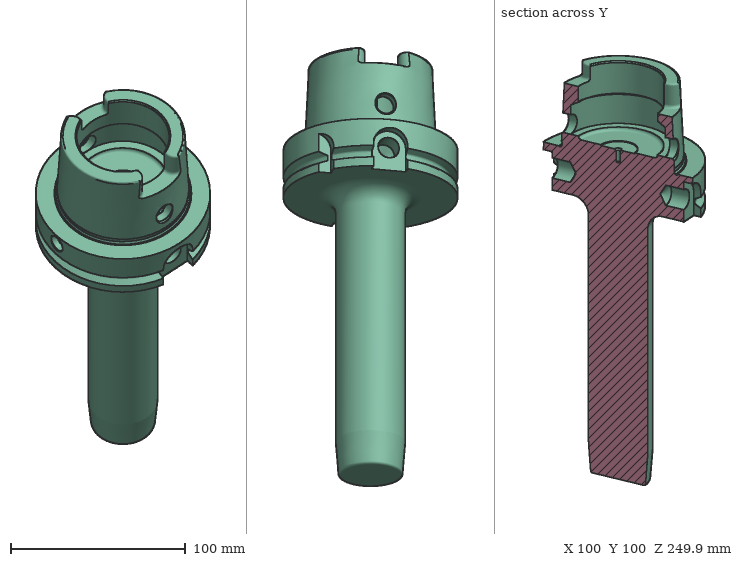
import cadquery as cq
import math

TOP_Z = 50.0
BOTTOM_Z = -199.9

TAPER_GAUGE_RADIUS = 37.55
TAPER_GAUGE_Z = 10.0
TAPER_SLOPE = 1 / 20
RIM_ROUND = 1.2
RELIEF_TOP_Z = 3.3
RELIEF_RADIUS = 37.6
RELIEF_FLOOR_TOP_Z = 2.3
RELIEF_FLOOR_BOTTOM_Z = 0.9
RELIEF_FOOT_RADIUS = 38.5
FACE_RELIEF_RADIUS = 39.3
FACE_RELIEF_DEPTH = 0.5

BORE_RADIUS = 26.5
BORE_FLOOR_ROUND = 2.0
BORE_RIM_CHAMFER = 0.8
BORE_LIP_Z = 30.0
UNDERCUT_RADIUS = 31.5
UNDERCUT_CONE_ANGLE = 60.0
UNDERCUT_FLOOR_Z = 9.0
BORE_FLOOR_Z = UNDERCUT_FLOOR_Z - BORE_FLOOR_ROUND
POCKET_RADIUS = 26.3
FLOOR_RECESS_RADIUS = 11.25
FLOOR_RECESS_DEPTH = 0.5
CENTER_HOLE_RADIUS = 1.2
CENTER_HOLE_DEPTH = 8.0
CENTER_HOLE_CHAMFER = 0.9

DRIVE_SLOT_WIDTH = 20.0
DRIVE_SLOT_CORNER_RADIUS = 6.0
DRIVE_SLOT_FLARE_X = 32.6
DRIVE_SLOT_FLOOR_ROUND = 2.0
DRIVE_SLOT_FLOORS = {-1: 40.0, 1: 35.0}

CLAMP_HOLE_RADIUS = 6.0
CLAMP_HOLE_Z = 15.0
CLAMP_HOLE_CHAMFER = 0.7

FLANGE_RADIUS = 50.0
FLANGE_THICKNESS = 29.0
GROOVE_CENTER_Z = -20.0
GROOVE_MOUTH = 7.2
GROOVE_FLOOR_WIDTH = 3.0
GROOVE_FLOOR_RADIUS = 46.0
GROOVE_ROUND = 1.0

KEYWAY_WIDTHS = {-1: 20.0, 1: 22.0}
NOTCH_WIDTH = 20.0
KEYWAY_ARCH_Z = -15.0
KEYWAY_FLOOR_X = 44.0
NOTCH_CENTER_Y = 41.2
NOTCH_FLOOR_X = 32.1
KEYWAY_HOLE_RADIUS = 6.2
KEYWAY_HOLE_DEPTH = 12.0
DRILL_POINT_ANGLE = 118.0

CHIP_HOLE_RADIUS = 5.0
CHIP_HOLE_Z = -7.0
CHIP_HOLE_DEPTH = 4.6
CHIP_HOLE_CHAMFER = 0.4
CHIP_PILOT_RADIUS = 0.5
CHIP_PILOT_DEPTH = 1.0

NECK_RADIUS = 20.0
NECK_FILLET = 10.0
NOSE_START_Z = -180.0
NOSE_END_RADIUS = 18.43
NOSE_ROUND = 1.5


def taper_radius(z):
    return TAPER_GAUGE_RADIUS + (TAPER_GAUGE_Z - z) * TAPER_SLOPE


def outer_body():
    """Solid of revolution: taper shank, grooved flange, neck and nose."""
    flange_z = -FLANGE_THICKNESS
    half_mouth = GROOVE_MOUTH / 2
    half_floor = GROOVE_FLOOR_WIDTH / 2
    body = (
        cq.Workplane("XZ")
        .moveTo(0, BOTTOM_Z)
        .lineTo(NOSE_END_RADIUS, BOTTOM_Z)
        .lineTo(NECK_RADIUS, NOSE_START_Z)
        .lineTo(NECK_RADIUS, flange_z - NECK_FILLET)
        .radiusArc((NECK_RADIUS + NECK_FILLET, flange_z), NECK_FILLET)
        .lineTo(FLANGE_RADIUS, flange_z)
        .lineTo(FLANGE_RADIUS, GROOVE_CENTER_Z - half_mouth)
        .lineTo(GROOVE_FLOOR_RADIUS, GROOVE_CENTER_Z - half_floor)
        .lineTo(GROOVE_FLOOR_RADIUS, GROOVE_CENTER_Z + half_floor)
        .lineTo(FLANGE_RADIUS, GROOVE_CENTER_Z + half_mouth)
        .lineTo(FLANGE_RADIUS, 0)
        .lineTo(FACE_RELIEF_RADIUS, 0)
        .lineTo(FACE_RELIEF_RADIUS, -FACE_RELIEF_DEPTH)
        .lineTo(RELIEF_FOOT_RADIUS, -FACE_RELIEF_DEPTH)
        .lineTo(RELIEF_RADIUS, RELIEF_FLOOR_BOTTOM_Z)
        .lineTo(RELIEF_RADIUS, RELIEF_FLOOR_TOP_Z)
        .lineTo(taper_radius(RELIEF_TOP_Z), RELIEF_TOP_Z)
        .lineTo(taper_radius(TOP_Z), TOP_Z)
        .lineTo(0, TOP_Z)
        .close()
        .revolve(360, (0, 0), (0, 1))
    )
    body = body.faces("<Z").edges().fillet(NOSE_ROUND)
    groove_floor_edges = cq.selectors.BoxSelector(
        (-FLANGE_RADIUS, -FLANGE_RADIUS, GROOVE_CENTER_Z - GROOVE_FLOOR_WIDTH),
        (FLANGE_RADIUS, FLANGE_RADIUS, GROOVE_CENTER_Z + GROOVE_FLOOR_WIDTH),
        boundingbox=True,
    )
    return body.edges(groove_floor_edges).fillet(GROOVE_ROUND)


def bore():
    """Stepped bore with a rounded floor, a shallow recess and a center hole."""
    cone_width = UNDERCUT_RADIUS - BORE_RADIUS
    cone_end_z = BORE_LIP_Z - cone_width / math.tan(math.radians(UNDERCUT_CONE_ANGLE))
    recess_z = BORE_FLOOR_Z - FLOOR_RECESS_DEPTH
    hole_mouth_radius = CENTER_HOLE_RADIUS + CENTER_HOLE_CHAMFER
    return (
        cq.Workplane("XZ")
        .moveTo(0, recess_z - CENTER_HOLE_DEPTH)
        .lineTo(CENTER_HOLE_RADIUS, recess_z - CENTER_HOLE_DEPTH)
        .lineTo(CENTER_HOLE_RADIUS, recess_z - CENTER_HOLE_CHAMFER)
        .lineTo(hole_mouth_radius, recess_z)
        .lineTo(FLOOR_RECESS_RADIUS, recess_z)
        .lineTo(FLOOR_RECESS_RADIUS, BORE_FLOOR_Z)
        .lineTo(POCKET_RADIUS - BORE_FLOOR_ROUND, BORE_FLOOR_Z)
        .radiusArc((POCKET_RADIUS, UNDERCUT_FLOOR_Z), -BORE_FLOOR_ROUND)
        .lineTo(UNDERCUT_RADIUS, UNDERCUT_FLOOR_Z)
        .lineTo(UNDERCUT_RADIUS, cone_end_z)
        .lineTo(BORE_RADIUS, BORE_LIP_Z)
        .lineTo(BORE_RADIUS, TOP_Z - BORE_RIM_CHAMFER)
        .lineTo(BORE_RADIUS + BORE_RIM_CHAMFER, TOP_Z)
        .lineTo(0, TOP_Z)
        .close()
        .revolve(360, (0, 0), (0, 1))
    )


def drive_slot(side):
    """Slot through the rim on one X side, flaring out in rounded corners and rounded at its floor."""
    floor_z = DRIVE_SLOT_FLOORS[side]
    half_width = DRIVE_SLOT_WIDTH / 2
    flare_y = half_width + DRIVE_SLOT_CORNER_RADIUS
    slot = (
        cq.Workplane("XY", origin=(0, 0, floor_z))
        .moveTo(0, -half_width)
        .lineTo(DRIVE_SLOT_FLARE_X - DRIVE_SLOT_CORNER_RADIUS, -half_width)
        .radiusArc((DRIVE_SLOT_FLARE_X, -flare_y), DRIVE_SLOT_CORNER_RADIUS)
        .lineTo(DRIVE_SLOT_FLARE_X, -FLANGE_RADIUS)
        .lineTo(FLANGE_RADIUS, -FLANGE_RADIUS)
        .lineTo(FLANGE_RADIUS, FLANGE_RADIUS)
        .lineTo(DRIVE_SLOT_FLARE_X, FLANGE_RADIUS)
        .lineTo(DRIVE_SLOT_FLARE_X, flare_y)
        .radiusArc((DRIVE_SLOT_FLARE_X - DRIVE_SLOT_CORNER_RADIUS, half_width), DRIVE_SLOT_CORNER_RADIUS)
        .lineTo(0, half_width)
        .close()
        .extrude(TOP_Z - floor_z)
        .faces("<Z")
        .edges()
        .fillet(DRIVE_SLOT_FLOOR_ROUND)
    )
    if side < 0:
        return slot.mirror("YZ")
    return slot


def clamp_hole():
    """Cross hole along X through both walls, chamfered where it leaves the taper."""
    wall = taper_radius(CLAMP_HOLE_Z)
    mouth_x = wall + CLAMP_HOLE_CHAMFER
    flare = CLAMP_HOLE_RADIUS + 2 * CLAMP_HOLE_CHAMFER
    profile = (
        cq.Workplane("XY", origin=(0, 0, CLAMP_HOLE_Z))
        .moveTo(-mouth_x, 0)
        .lineTo(-mouth_x, flare)
        .lineTo(CLAMP_HOLE_CHAMFER - wall, CLAMP_HOLE_RADIUS)
        .lineTo(wall - CLAMP_HOLE_CHAMFER, CLAMP_HOLE_RADIUS)
        .lineTo(mouth_x, flare)
        .lineTo(mouth_x, 0)
        .close()
    )
    return profile.revolve(360, (0, 0), (1, 0))


def arched_cut(side, center_y, floor_x, width):
    """Cut with an arched top, running down through the flange and out along X from floor_x."""
    half_width = width / 2
    drop = FLANGE_THICKNESS + KEYWAY_ARCH_Z
    arch = cq.Workplane("YZ", origin=(side * floor_x, center_y, KEYWAY_ARCH_Z))
    arch = (
        arch.moveTo(-half_width, -drop)
        .lineTo(-half_width, 0)
        .threePointArc((0, half_width), (half_width, 0))
        .lineTo(half_width, -drop)
        .close()
    )
    return arch.extrude(side * FLANGE_RADIUS)


def keyway(side):
    """Arched keyway with a blind drilled hole running inward from its floor."""
    hole_end_x = KEYWAY_FLOOR_X - KEYWAY_HOLE_DEPTH
    point_length = KEYWAY_HOLE_RADIUS / math.tan(math.radians(DRILL_POINT_ANGLE / 2))
    hole = (
        cq.Workplane("XY", origin=(0, 0, KEYWAY_ARCH_Z))
        .moveTo(side * KEYWAY_FLOOR_X, 0)
        .lineTo(side * KEYWAY_FLOOR_X, KEYWAY_HOLE_RADIUS)
        .lineTo(side * hole_end_x, KEYWAY_HOLE_RADIUS)
        .lineTo(side * (hole_end_x - point_length), 0)
        .close()
        .revolve(360, (0, 0), (1, 0))
    )
    return arched_cut(side, 0, KEYWAY_FLOOR_X, KEYWAY_WIDTHS[side]).union(hole)


def chip_hole():
    """Flat-bottomed blind hole along Y with a small pilot at its center."""
    floor_y = CHIP_HOLE_DEPTH - FLANGE_RADIUS
    mouth = CHIP_HOLE_RADIUS + CHIP_HOLE_CHAMFER
    return (
        cq.Workplane("XY", origin=(0, 0, CHIP_HOLE_Z))
        .moveTo(0, -FLANGE_RADIUS)
        .lineTo(mouth, -FLANGE_RADIUS)
        .lineTo(CHIP_HOLE_RADIUS, CHIP_HOLE_CHAMFER - FLANGE_RADIUS)
        .lineTo(CHIP_HOLE_RADIUS, floor_y)
        .lineTo(CHIP_PILOT_RADIUS, floor_y)
        .lineTo(CHIP_PILOT_RADIUS, floor_y + CHIP_PILOT_DEPTH)
        .lineTo(0, floor_y + CHIP_PILOT_DEPTH)
        .close()
        .revolve(360, (0, 0), (0, 1))
    )


result = outer_body()
for side in (-1, 1):
    result = result.cut(drive_slot(side)).cut(keyway(side))
result = result.faces(">Z").edges().fillet(RIM_ROUND)
result = result.cut(arched_cut(-1, NOTCH_CENTER_Y, NOTCH_FLOOR_X, NOTCH_WIDTH))
result = result.cut(bore()).cut(clamp_hole()).cut(chip_hole())